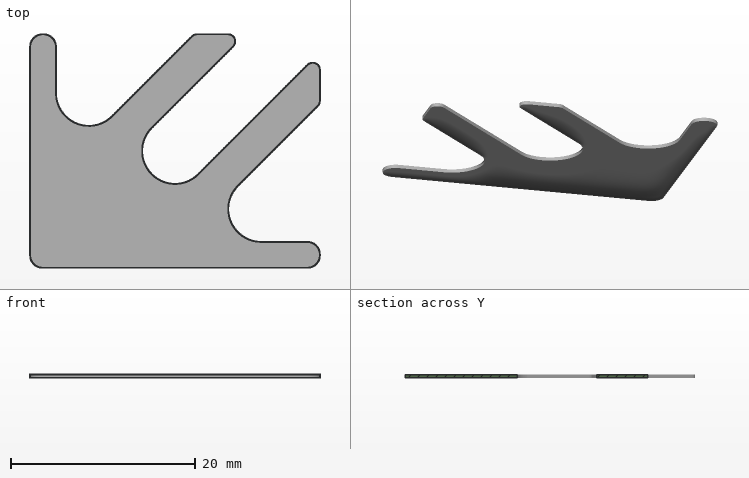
import cadquery as cq
import math

length = 31.5
width = 25.4
thickness = 0.38
outer_corner_radius = 1.4

edge_arm_width = 2.85
slot_radius = 3.55
finger_tip_radius = 0.8
finger_angle = math.radians(45)

edge_offset = edge_arm_width + slot_radius
middle_center = (length / 2, width / 2)
left_center = (edge_offset, width - edge_offset)
right_center = (length - edge_offset, edge_offset)

reach = length + width
along = (math.cos(finger_angle), math.sin(finger_angle))
across = (-math.sin(finger_angle), math.cos(finger_angle))


def offset(point, direction, distance):
    return (point[0] + direction[0] * distance, point[1] + direction[1] * distance)


def slot_cutter(center, upper_normal, upper_direction, lower_normal, lower_direction):
    """Round slot bottom opening out between two straight walls tangent to it."""
    upper_start = offset(center, upper_normal, slot_radius)
    lower_start = offset(center, lower_normal, slot_radius)
    opening = (
        cq.Workplane("XY")
        .polyline([
            center,
            upper_start,
            offset(upper_start, upper_direction, reach),
            offset(lower_start, lower_direction, reach),
            lower_start,
        ])
        .close()
        .extrude(thickness)
    )
    bottom = cq.Workplane("XY").center(*center).circle(slot_radius).extrude(thickness)
    return opening.union(bottom)


across_back = (-across[0], -across[1])
left_slot = slot_cutter(left_center, (-1, 0), (0, 1), across_back, along)
middle_slot = slot_cutter(middle_center, across, along, across_back, along)
right_slot = slot_cutter(right_center, across, along, (0, -1), (1, 0))

plate = cq.Workplane("XY").rect(length, width, centered=False).extrude(thickness)
for slot in (left_slot, middle_slot, right_slot):
    plate = plate.cut(slot)


def round_corners(body, points, radius):
    """Fillet the vertical edges standing at the given plan positions."""
    for point in points:
        nearest = cq.selectors.NearestToPointSelector((*point, thickness / 2))
        body = body.edges("|Z").edges(nearest).fillet(radius)
    return body


def wall_shift(center, side):
    """Value of x - y along a 45 degree wall of a slot; side is +1 below, -1 above."""
    return center[0] - center[1] + side * slot_radius / math.sin(finger_angle)


outer_corners = [
    (0, 0),
    (length, 0),
    (length, edge_arm_width),
    (0, width),
    (edge_arm_width, width),
]
finger_corners = [
    (width + wall_shift(left_center, 1), width),
    (width + wall_shift(middle_center, -1), width),
    (length, length - wall_shift(middle_center, 1)),
    (length, length - wall_shift(right_center, -1)),
]

result = round_corners(plate, outer_corners, outer_corner_radius)
result = round_corners(result, finger_corners, finger_tip_radius)